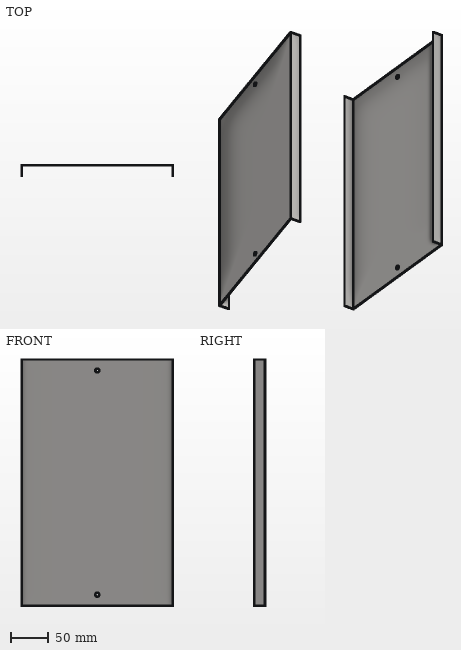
import cadquery as cq

width = 203.5
depth = 15.0
height = 331.0
sheet = 0.83

hole_diameter = 5.0
hole_edge_distance = 15.0
hole_spacing = height - 2 * hole_edge_distance


def folded_channel():
    """Flat back plate with a flange along each long side, open toward -Y."""
    block = cq.Workplane("XY").box(width, depth, height)
    cavity = (
        cq.Workplane("XY")
        .box(width - 2 * sheet, depth, height)
        .translate((0, -sheet, 0))
    )
    return block.cut(cavity)


def mounting_holes():
    """Cutters running through the full depth, one near each end."""
    return (
        cq.Workplane("XZ")
        .rarray(3.3, hole_spacing, 1, 2)
        .circle(hole_diameter / 2)
        .extrude(depth, both=True)
    )


result = folded_channel().cut(mounting_holes())